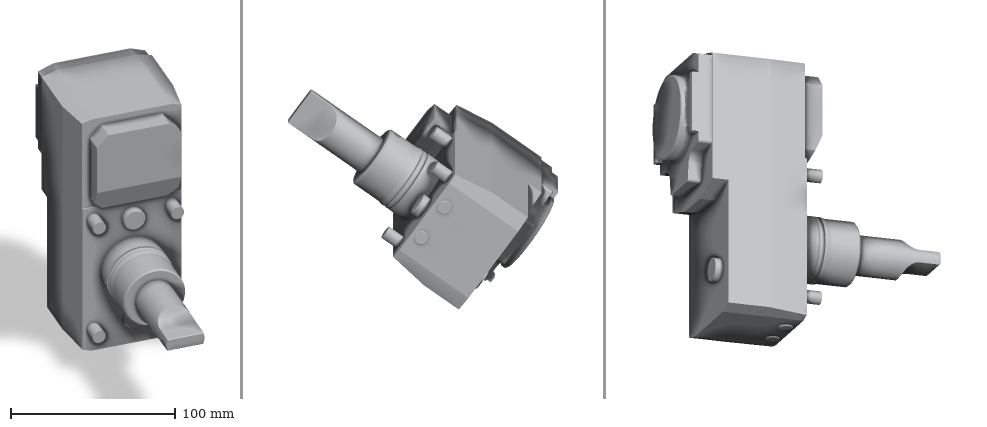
import cadquery as cq
import math


HALF_WIDTH = 36.0
BACK_HALF_WIDTH = 32.2
LOWER_FRONT_X = 27.2
UPPER_FRONT_X = 16.8
TAPER_X = 53.6
UPPER_BACK_X = 78.2
LOWER_BACK_X = 79.2
TOP_Z = 110.0
BOTTOM_Z = -55.0
EDGE_FLAT_HALF = 26.0
EDGE_DROP = 2.8
STEP_FLAT_HALF = 13.1
STEP_MIDDLE_Z = 20.5
STEP_SIDE_Z = 26.6
BACK_STEP_Z = 47.4

PLATE_X = 8.1
PLATE_HALF_WIDTH = 35.0
PLATE_TOP_Z = 109.5
PLATE_FLAT_HALF = 24.9
PLATE_EDGE_Z = 105.9
SHOULDER_OUTER_Z = 49.5
SHOULDER_INNER = (17.8, 46.7)
TONGUE_HALF_WIDTH = 15.4
TONGUE_Z = 30.1
PLATE_CORNER_RADIUS = 1.7
PLATE_INNER_RADIUS = 7.3

CAP_Z = 75.0
CAP_RADIUS = 26.1
CAP_EDGE = 0.5
CAP_RIM = 2.8
CAP_FLAT_HALF = 23.0
CAP_FILLET = 2.0
CAP_FLAT_CUT = 8.6

CLIP_X = 3.8
CLIP_INNER = 30.5
CLIP_HEIGHT = 37.9
CLIP_CLEARANCE_RADIUS = 32.2

BLOCK_X = 91.2
BLOCK_HALF_WIDTH = 27.3
BLOCK_TOP_Z = 104.8
BLOCK_BOTTOM_Z = 49.0
BLOCK_TOP_CHAMFER = 7.6
BLOCK_BOTTOM_CHAMFER = 6.0
BLOCK_SLANT_Z = 65.0
BLOCK_SLANT_X = 83.9

COLLAR_RADIUS = 20.8
COLLAR_END_X = 91.2
GROOVE_RADIUS = 19.0
GROOVE_END_X = 95.5
RING_RADIUS = 1.9
LIP_END_X = 96.5
BODY_START_X = 99.3
BODY_RADIUS = 20.0
BODY_END_X = 118.9
BODY_CHAMFER = 1.0
NECK_RADIUS = 12.6
NECK_END_X = 121.5
STEM_RADIUS = 12.5
SHANK_END_X = 173.0
END_CHAMFER = 0.5

TANG_THICKNESS = 8.1
TANG_START_X = 160.0
TANG_RADIUS = 10.4
TANG_RUNOUT_ANGLE = 60.0

PIN_DIAMETER = 8.3
PIN_Y = 25.5
PIN_Z = 39.1
UPPER_PIN_END_X = 90.7
LOWER_PIN_END_X = 90.1
STUD_DIAMETER = 13.8
STUD_Z = 35.6
STUD_END_X = 84.3
STUD_EDGE = 0.5

BUTTON_DIAMETER = 14.4
BUTTON_Y = -18.0
BUTTON_Z = -25.8
BUTTON_X = 22.7
PLUG_DIAMETER = 8.6
PLUG_X = 72.8
PLUG_Y = 12.0
PLUG_HEIGHT = 1.0
PLUG_EDGE = 0.3

EMBED = 1.7


def prism_x(outline, x_start, x_end):
    """Extrude a closed (y, z) polygon along X."""
    return cq.Workplane("YZ", origin=(x_start, 0, 0)).polyline(outline).close().extrude(x_end - x_start)


def mirrored(half):
    """Complete a symmetric (y, z) outline from its +Y half."""
    return half + [(-y, z) for y, z in reversed(half)]


def cylinder_x(y, z, diameter, x_start, x_end):
    """Cylinder along X."""
    return cq.Workplane("YZ", origin=(x_start, y, z)).circle(diameter / 2).extrude(x_end - x_start)


def housing():
    lower = prism_x(
        mirrored([
            (EDGE_FLAT_HALF, TOP_Z),
            (HALF_WIDTH, TOP_Z - EDGE_DROP),
            (HALF_WIDTH, BOTTOM_Z + EDGE_DROP),
            (EDGE_FLAT_HALF, BOTTOM_Z),
        ]),
        LOWER_FRONT_X, LOWER_BACK_X,
    )
    upper = prism_x(
        mirrored([
            (EDGE_FLAT_HALF, TOP_Z),
            (HALF_WIDTH, TOP_Z - EDGE_DROP),
            (HALF_WIDTH, STEP_SIDE_Z),
            (STEP_FLAT_HALF, STEP_MIDDLE_Z),
        ]),
        UPPER_FRONT_X, LOWER_FRONT_X + EMBED,
    )
    plan = [
        (UPPER_FRONT_X, HALF_WIDTH),
        (TAPER_X, HALF_WIDTH),
        (LOWER_BACK_X, BACK_HALF_WIDTH),
        (LOWER_BACK_X, -BACK_HALF_WIDTH),
        (TAPER_X, -HALF_WIDTH),
        (UPPER_FRONT_X, -HALF_WIDTH),
    ]
    tapered = (
        cq.Workplane("XY", origin=(0, 0, BOTTOM_Z))
        .polyline(plan).close()
        .extrude(TOP_Z - BOTTOM_Z)
    )
    back_step = cq.Workplane("XY").box(
        LOWER_BACK_X - UPPER_BACK_X, 2 * HALF_WIDTH, TOP_Z - BACK_STEP_Z, centered=(False, True, False)
    ).translate((UPPER_BACK_X, 0, BACK_STEP_Z))
    return lower.union(upper).intersect(tapered).cut(back_step)


def front_plate():
    outline = mirrored([
        (PLATE_FLAT_HALF, PLATE_TOP_Z),
        (PLATE_HALF_WIDTH, PLATE_EDGE_Z),
        (PLATE_HALF_WIDTH, SHOULDER_OUTER_Z),
        SHOULDER_INNER,
        (TONGUE_HALF_WIDTH, TONGUE_Z),
    ])
    plate = prism_x(outline, PLATE_X, UPPER_FRONT_X + EMBED)

    def round_corner(body, corner, radius):
        """Fillet the X-running edge at a (y, z) corner and at its mirror image."""
        y, z = corner
        middle_x = (PLATE_X + UPPER_FRONT_X) / 2
        for side in (-1, 1):
            edge = cq.selectors.NearestToPointSelector((middle_x, side * y, z))
            body = body.edges("|X").edges(edge).fillet(radius)
        return body

    plate = round_corner(plate, SHOULDER_INNER, PLATE_INNER_RADIUS)
    plate = round_corner(plate, (PLATE_HALF_WIDTH, SHOULDER_OUTER_Z), PLATE_CORNER_RADIUS)
    return round_corner(plate, (TONGUE_HALF_WIDTH, TONGUE_Z), PLATE_CORNER_RADIUS)


def round_cap():
    fillet_start_x = PLATE_X - CAP_FILLET
    fillet_top = CAP_RADIUS + CAP_FILLET
    diagonal = CAP_FILLET * math.sqrt(0.5)
    cap = (
        cq.Workplane("XY")
        .lineTo(0, CAP_RADIUS - CAP_EDGE)
        .lineTo(CAP_EDGE, CAP_RADIUS)
        .lineTo(fillet_start_x, CAP_RADIUS)
        .threePointArc((fillet_start_x + diagonal, fillet_top - diagonal), (PLATE_X, fillet_top))
        .lineTo(PLATE_X + EMBED, fillet_top)
        .lineTo(PLATE_X + EMBED, 0)
        .close()
        .revolve(360, (0, 0, 0), (1, 0, 0))
    )
    for side in (-1, 1):
        flat = cq.Workplane("XY").box(PLATE_X - CAP_RIM, CAP_FLAT_CUT, 2 * fillet_top)
        cap = cap.cut(flat.translate(((CAP_RIM + PLATE_X) / 2, side * (CAP_FLAT_HALF + CAP_FLAT_CUT / 2), 0)))
    return cap.translate((0, 0, CAP_Z))


def side_clips():
    depth = PLATE_X + EMBED - CLIP_X
    clip_face = cq.Workplane("YZ", origin=(CLIP_X, 0, CAP_Z))
    pair = clip_face.rect(2 * PLATE_HALF_WIDTH, CLIP_HEIGHT).extrude(depth)
    gap = clip_face.rect(2 * CLIP_INNER, CLIP_HEIGHT).extrude(depth)
    clearance = cylinder_x(0, CAP_Z, 2 * CLIP_CLEARANCE_RADIUS, CLIP_X, PLATE_X + EMBED)
    return pair.cut(gap).cut(clearance)


def back_block():
    block = prism_x(
        mirrored([
            (BLOCK_HALF_WIDTH - BLOCK_TOP_CHAMFER, BLOCK_TOP_Z),
            (BLOCK_HALF_WIDTH, BLOCK_TOP_Z - BLOCK_TOP_CHAMFER),
            (BLOCK_HALF_WIDTH, BLOCK_BOTTOM_Z + BLOCK_BOTTOM_CHAMFER),
            (BLOCK_HALF_WIDTH - BLOCK_BOTTOM_CHAMFER, BLOCK_BOTTOM_Z),
        ]),
        UPPER_BACK_X - EMBED, BLOCK_X,
    )
    slant = (
        cq.Workplane("XZ")
        .polyline([(BLOCK_X, BLOCK_SLANT_Z), (BLOCK_SLANT_X, BLOCK_BOTTOM_Z), (BLOCK_X, BLOCK_BOTTOM_Z)])
        .close()
        .extrude(BLOCK_HALF_WIDTH, both=True)
    )
    return block.cut(slant)


def shank():
    profile = [
        (LOWER_BACK_X - EMBED, 0),
        (LOWER_BACK_X - EMBED, COLLAR_RADIUS),
        (COLLAR_END_X, COLLAR_RADIUS),
        (COLLAR_END_X, GROOVE_RADIUS),
        (GROOVE_END_X, GROOVE_RADIUS),
        (GROOVE_END_X, COLLAR_RADIUS),
        (LIP_END_X, COLLAR_RADIUS),
        (BODY_START_X, BODY_RADIUS),
        (BODY_END_X - BODY_CHAMFER, BODY_RADIUS),
        (BODY_END_X, BODY_RADIUS - BODY_CHAMFER),
        (BODY_END_X, NECK_RADIUS),
        (NECK_END_X, NECK_RADIUS),
        (NECK_END_X, STEM_RADIUS),
        (SHANK_END_X, STEM_RADIUS),
        (SHANK_END_X, 0),
    ]
    turned = cq.Workplane("XY").polyline(profile).close().revolve(360, (0, 0, 0), (1, 0, 0))
    seal_ring = (
        cq.Workplane("XY")
        .center(COLLAR_END_X + RING_RADIUS, COLLAR_RADIUS - RING_RADIUS)
        .circle(RING_RADIUS)
        .revolve(360, (-1.7, RING_RADIUS - COLLAR_RADIUS, 0), (1.7, RING_RADIUS - COLLAR_RADIUS, 0))
    )
    tanged = turned.union(seal_ring).cut(tang_cuts())
    return tanged.faces(">X").chamfer(END_CHAMFER)


def tang_cuts():
    """Material removed above and below the tang: a flat, an arc, and a straight runout."""
    flat_z = TANG_THICKNESS / 2
    angle = math.radians(TANG_RUNOUT_ANGLE)

    def arc_point(turn):
        return (TANG_START_X - TANG_RADIUS * math.sin(turn), flat_z + TANG_RADIUS * (1 - math.cos(turn)))

    arc_end_x, arc_end_z = arc_point(angle)
    runout_z = STEM_RADIUS + EMBED
    runout_x = arc_end_x - (runout_z - arc_end_z) / math.tan(angle)
    upper = (
        cq.Workplane("XZ")
        .moveTo(SHANK_END_X, flat_z)
        .lineTo(TANG_START_X, flat_z)
        .threePointArc(arc_point(angle / 2), (arc_end_x, arc_end_z))
        .lineTo(runout_x, runout_z)
        .lineTo(SHANK_END_X, runout_z)
        .close()
        .extrude(2 * STEM_RADIUS, both=True)
    )
    return upper.union(upper.mirror("XY"))


def back_pins():
    pins = cq.Workplane("XY")
    start_x = LOWER_BACK_X - EMBED
    for level, pin_end_x in ((1, UPPER_PIN_END_X), (-1, LOWER_PIN_END_X)):
        for side in (-1, 1):
            pins = pins.add(cylinder_x(side * PIN_Y, level * PIN_Z, PIN_DIAMETER, start_x, pin_end_x))
        stud = cylinder_x(0, level * STUD_Z, STUD_DIAMETER, start_x, STUD_END_X)
        pins = pins.add(stud.faces(">X").chamfer(STUD_EDGE))
    return pins.combine()


def front_button():
    return cylinder_x(BUTTON_Y, BUTTON_Z, BUTTON_DIAMETER, BUTTON_X, LOWER_FRONT_X + EMBED)


def bottom_plugs():
    return (
        cq.Workplane("XY", origin=(0, 0, BOTTOM_Z - PLUG_HEIGHT))
        .pushPoints([(PLUG_X, -PLUG_Y), (PLUG_X, PLUG_Y)])
        .circle(PLUG_DIAMETER / 2)
        .extrude(PLUG_HEIGHT + EMBED)
        .faces("<Z").chamfer(PLUG_EDGE)
    )


result = housing()
for feature in (
    front_plate(), round_cap(), side_clips(), back_block(),
    shank(), back_pins(), front_button(), bottom_plugs(),
):
    result = result.union(feature)